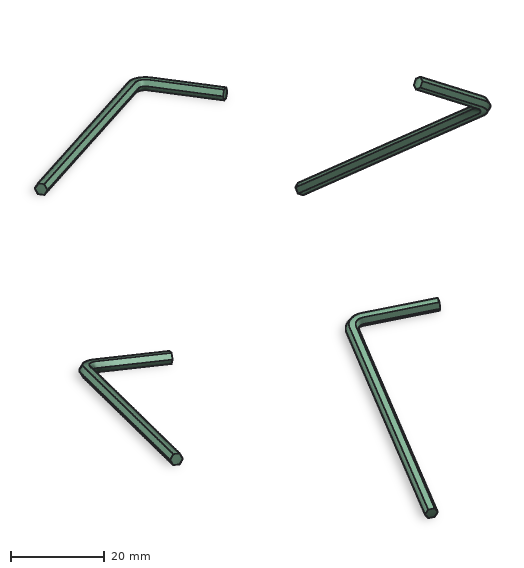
import cadquery as cq
import math

length_x = 21.45
length_y = 64.45
sides = 6
across_flats = 2.5
bend_angle = 90
bend_radius = 3.0

across_corners = across_flats / math.cos(math.pi / sides)
half_width = across_corners / 2

long_straight = length_y - half_width - bend_radius
short_straight = length_x - half_width - bend_radius


def hexagon_section():
    """Hexagon in XZ with corners on the X axis and flats at top and bottom."""
    return cq.Workplane("XZ").polygon(sides, across_corners)


long_arm = hexagon_section().extrude(-long_straight)

bend = (
    hexagon_section()
    .revolve(bend_angle, (bend_radius, 0.65, 0), (bend_radius, 0, 0))
    .translate((0, long_straight, 0))
)

short_arm = (
    hexagon_section()
    .extrude(-short_straight)
    .rotate((0, 0, 0), (0, 0, 1), -bend_angle)
    .translate((bend_radius, long_straight + bend_radius, 0))
)

result = long_arm.union(bend).union(short_arm)